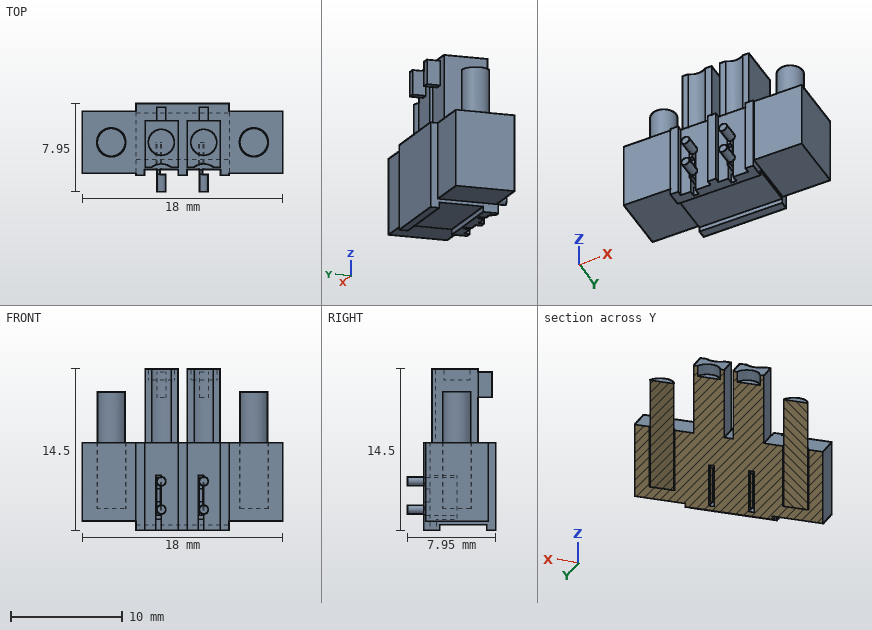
import cadquery as cq


pole_pitch = 3.81
pole_centres = (-pole_pitch / 2, pole_pitch / 2)

block_width = 8.38
block_back = 3.50
block_front = -2.97
block_top = 7.88
rear_foot_depth = 0.83
front_foot_depth = 1.44
foot_height = 0.50

overall_width = 18.01
flange_depth = 5.60
flange_bottom = 0.82

recess_width = 3.00
recess_face = -2.45
rib_width = pole_pitch - recess_width

tower_width = 2.96
tower_back = 1.92
tower_front = -2.23
tower_top = 14.50
tower_hole_diameter = 2.33
tower_hole_depth = 1.00
groove_radius = 1.45
groove_depth = 0.29
key_width = 0.83
key_back = 3.17
key_bottom = 11.93
key_top = 14.22

slot_width = 0.50
slot_back = 0.0
slot_floor = 0.985
slot_top = 4.925
channel_depth = 0.60

blade_thickness = 0.30
blade_side_gap = (slot_width - blade_thickness) / 2
blade_bottom = 1.355
blade_top = 4.755
blade_tip = -2.87
blade_gap_bottom = 2.57
blade_gap_top = 3.72
pin_diameter = 0.80
pin_tip = -4.45
lower_pin_height = 1.86
pin_pitch = 2.54

screw_spacing = 12.80
screw_centres = (-screw_spacing / 2, screw_spacing / 2)
screw_diameter = 2.50
screw_hole_diameter = 2.60
screw_top = 12.43
screw_bottom = 2.00


def box_between(x_range, y_range, z_range):
    """Box spanning the given (low, high) ranges."""
    sizes = [high - low for low, high in (x_range, y_range, z_range)]
    corner = (x_range[0], y_range[0], z_range[0])
    return cq.Workplane("XY").box(*sizes, centered=False).translate(corner)


def centred(width, centre=0.0):
    """Range of the given width about a centre."""
    return (centre - width / 2, centre + width / 2)


def upright_cylinder(x, y, diameter, bottom, top):
    """Vertical cylinder between two heights."""
    return cq.Workplane("XY", origin=(x, y, bottom)).circle(diameter / 2).extrude(top - bottom)


def make_base():
    """Block with flanges and two feet, without pole details."""
    block = box_between(centred(block_width), (block_front, block_back), (0, block_top))
    flanges = box_between(centred(overall_width), centred(flange_depth), (flange_bottom, block_top))
    foot_gap = box_between(
        centred(block_width),
        (block_front + front_foot_depth, block_back - rear_foot_depth),
        (0, foot_height),
    )
    return block.union(flanges).cut(foot_gap)


def make_tower(pole_x):
    """Tower with its rear key, front groove and blind top hole."""
    side = 1 if pole_x > 0 else -1
    tower_centre = side * (rib_width + tower_width) / 2
    body = box_between(
        centred(tower_width, tower_centre), (tower_front, tower_back), (block_top, tower_top)
    )
    key = box_between(centred(key_width, pole_x), (tower_back, key_back), (key_bottom, key_top))
    groove_axis = tower_front + groove_depth - groove_radius
    groove = upright_cylinder(pole_x, groove_axis, 2 * groove_radius, block_top, tower_top)
    hole = upright_cylinder(
        pole_x, 0, tower_hole_diameter, tower_top - tower_hole_depth, tower_top
    )
    return body.union(key).cut(groove).cut(hole)


def make_slot(pole_x):
    """Space for one contact: deep slot plus the shallow channel below it."""
    across = (pole_x - slot_width, pole_x)
    slot = box_between(across, (recess_face, slot_back), (slot_floor, slot_top))
    channel = box_between(across, (recess_face, recess_face + channel_depth), (0, slot_floor))
    return slot.union(channel)


def make_housing():
    housing = make_base()
    for pole_x in pole_centres:
        recess = box_between(
            centred(recess_width, pole_x), (block_front, recess_face), (0, block_top)
        )
        housing = housing.cut(recess).union(make_tower(pole_x)).cut(make_slot(pole_x))
    for screw_x in screw_centres:
        housing = housing.cut(
            upright_cylinder(screw_x, 0, screw_hole_diameter, screw_bottom, block_top)
        )
    return housing


def make_contact(pole_x):
    """Forked blade carrying a round pin on each leg."""
    blade_left = pole_x - slot_width + blade_side_gap
    across = (blade_left, blade_left + blade_thickness)
    blade = box_between(across, (blade_tip, slot_back), (blade_bottom, blade_top))
    leg_gap = box_between(across, (blade_tip, recess_face), (blade_gap_bottom, blade_gap_top))
    contact = blade.cut(leg_gap)
    for pin_height in (lower_pin_height, lower_pin_height + pin_pitch):
        pin = (
            cq.Workplane("XZ", origin=(pole_x, blade_tip, pin_height))
            .circle(pin_diameter / 2)
            .extrude(blade_tip - pin_tip)
        )
        contact = contact.union(pin)
    return contact


def make_screw(screw_x):
    """Plain shank standing on the floor of its clearance hole."""
    return upright_cylinder(screw_x, 0, screw_diameter, screw_bottom, screw_top)


housing = make_housing()
contacts = [make_contact(pole_x) for pole_x in pole_centres]
screws = [make_screw(screw_x) for screw_x in screw_centres]

bodies = [housing, *contacts, *screws]
result = cq.Compound.makeCompound([body.solids().val() for body in bodies])